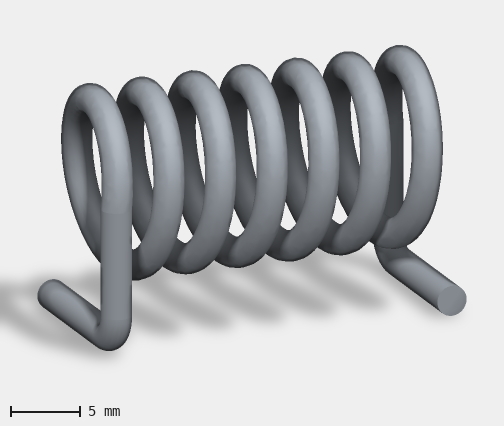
import cadquery as cq
import math

WIRE_DIAMETER = 2.26
INNER_DIAMETER = 10.0
PITCH = 4.0
TURNS = 6.5
LEG_DROP = 10.0
BEND_RADIUS = 2.0

wire_radius = WIRE_DIAMETER / 2
coil_radius = INNER_DIAMETER / 2 + wire_radius
coil_length = PITCH * TURNS
half_length = coil_length / 2


def make_coil():
    """Left-handed coil, built along Z and then turned so that it runs along Y."""
    helix = cq.Wire.makeHelix(PITCH, coil_length, coil_radius, lefthand=True)
    coil = (
        cq.Workplane("XZ")
        .center(coil_radius, 0)
        .circle(wire_radius)
        .sweep(cq.Workplane(helix), isFrenet=True)
    )
    return coil.rotate((0, 0, 0), (1, 0, 0), -90).translate((0, -half_length, 0))


def make_leg(side, y):
    """Leg dropping from the coil at X = side * coil_radius, then crossing under the coil."""
    x_start = side * coil_radius
    x_bend_end = side * (coil_radius - BEND_RADIUS)
    z_bend_start = BEND_RADIUS - LEG_DROP
    bend_inset = BEND_RADIUS * (1 - math.sqrt(0.5))
    bend_middle = (side * (coil_radius - bend_inset), bend_inset - LEG_DROP)

    path = (
        cq.Workplane("XZ", origin=(0, y, 0))
        .moveTo(x_start, 0)
        .lineTo(x_start, z_bend_start)
        .threePointArc(bend_middle, (x_bend_end, -LEG_DROP))
        .lineTo(-x_start, -LEG_DROP)
    )
    return cq.Workplane("XY", origin=(x_start, y, 0)).circle(wire_radius).sweep(path)


front_leg = make_leg(1, -half_length)
rear_leg = make_leg(-1, half_length)

result = make_coil().union(front_leg).union(rear_leg)